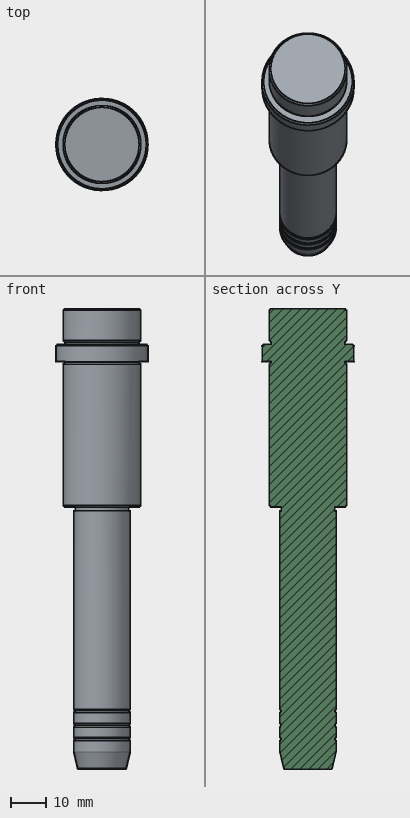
import cadquery as cq

total_length = 130.0
flange_radius = 13.0
body_diameter = 22.0
body_radius = body_diameter / 2
pin_diameter = 16.0
pin_radius = pin_diameter / 2
tip_radius = 6.9

body_bottom = 74.0
flange_bottom = 115.0
flange_top = 120.0
tip_length = 5.0

edge_chamfer = 0.5
flange_chamfer = 0.5
tip_chamfer = 0.3
head_neck_width = 0.5
body_neck_width = 0.3
neck_depth = 0.4
neck_width = 1.0

ring_bottoms = (8.0, 12.0, 16.0)
ring_width = 1.0
ring_depth = 0.4


def cylinder(radius, bottom, top):
    return cq.Workplane("XY").workplane(offset=bottom).circle(radius).extrude(top - bottom)


def v_groove(bottom):
    """Triangular ring to cut from the pin, deepest halfway up its width."""
    return (
        cq.Workplane("XZ")
        .polyline(
            [
                (pin_radius, bottom),
                (pin_radius - ring_depth, bottom + ring_width / 2),
                (pin_radius, bottom + ring_width),
            ]
        )
        .close()
        .revolve(360, (0, 0), (0, 1))
    )


pin = (
    cq.Workplane("XZ")
    .polyline(
        [
            (0, 0),
            (tip_radius - tip_chamfer, 0),
            (tip_radius, tip_chamfer),
            (pin_radius, tip_length),
            (pin_radius, body_bottom - neck_width),
            (pin_radius - neck_depth, body_bottom - neck_width),
            (pin_radius - neck_depth, body_bottom),
            (0, body_bottom),
        ]
    )
    .close()
    .revolve(360, (0, 0), (0, 1))
)
for ring_bottom in ring_bottoms:
    pin = pin.cut(v_groove(ring_bottom))

body_top = flange_bottom - body_neck_width
body = cylinder(body_radius, body_bottom, body_top).faces("<Z or >Z").chamfer(edge_chamfer)

flange = cylinder(flange_radius, flange_bottom, flange_top).faces(">Z").chamfer(flange_chamfer)

head_bottom = flange_top + head_neck_width
head = cylinder(body_radius, head_bottom, total_length).faces("<Z or >Z").chamfer(edge_chamfer)

neck_radius = body_radius - edge_chamfer
flange_necks = cylinder(neck_radius, body_top, head_bottom)

result = pin.union(body).union(flange_necks).union(flange).union(head)